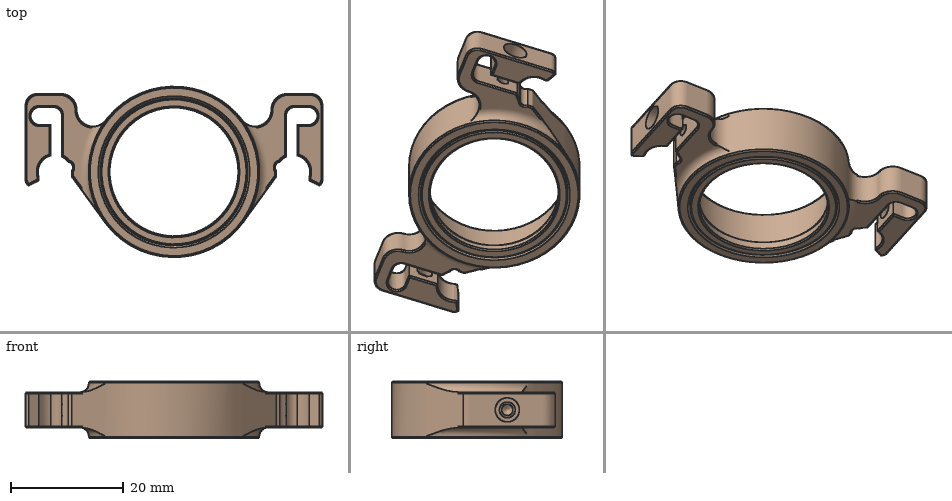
import cadquery as cq
import math

ring_height = 10.2
ring_radius = 30.5 / 2
bore_radius = 26.3 / 2
bore_chamfer = 0.35
edge_chamfer = 0.25

opening_radius = 22.9 / 2
insert_height = 2.0

lug_height = 6.35
root_radius = 1.5
lug_end_x = -26.5
lug_back_y = 13.95
corner_radius = 2.2
shoulder_radius = 2.9

slot_end_x = -25.55
slot_back_y = 11.55
slot_front_y = 8.4
slot_radius = (slot_back_y - slot_front_y) / 2
plate_inner_x = -21.95
arm_face_x = -20.0

seat_x = -21.25
seat_radius = 2.995
detent_x = -19.05
detent_y = 0.8
detent_radius = 1.0

nose_x = seat_x + seat_radius
nose_y = -0.8
nose_radius = 0.55

tip_inner_x = -24.15
tip_inner_y = -1.55
tip_inner_radius = 0.25
tip_x = -25.95
tip_y = -2.45
tip_curve_y = -1.4

hole_y = 5.4
head_radius = 4.3 / 2
head_depth = 3.2
screw_radius = 2.8 / 2
pilot_radius = 2.0 / 2
pilot_depth = 2.1
drill_tip_angle = 120


def upright(outline, height):
    """Extrude an outline in the XY plane to a height centred on Z = 0."""
    return outline.extrude(height).translate((0, 0, -height / 2))


def chamfered_tube(outer_radius, inner_radius, height, inner_chamfer):
    """Ring centred on Z = 0 with all four of its edges chamfered."""
    tube = upright(cq.Workplane("XY").circle(outer_radius), height)
    tube = tube.edges("%CIRCLE").chamfer(edge_chamfer)
    hole = upright(cq.Workplane("XY").circle(inner_radius), height)
    tube = tube.cut(hole)
    inner_edges = cq.selectors.RadiusNthSelector(0)
    return tube.edges("%CIRCLE").edges(inner_edges).chamfer(inner_chamfer)


def lug_blank(height):
    """Left lug before the slot and seat are cut; it reaches to the ring's axis."""
    shoulder_y = lug_back_y - shoulder_radius
    valley_distance = ring_radius + shoulder_radius
    valley_x = -math.sqrt(valley_distance**2 - shoulder_y**2)
    valley_side_x = valley_x - shoulder_radius
    valley_end_angle = math.atan2(-shoulder_y, -valley_x)
    valley_mid_angle = (valley_end_angle - math.pi) / 2

    def valley_point(angle):
        return (
            valley_x + shoulder_radius * math.cos(angle),
            shoulder_y + shoulder_radius * math.sin(angle),
        )

    nose_distance = math.hypot(nose_x, nose_y)
    flank_angle = math.atan2(nose_y, nose_x) + math.acos(ring_radius / nose_distance)
    flank_end = (ring_radius * math.cos(flank_angle), ring_radius * math.sin(flank_angle))

    outline = (
        cq.Workplane("XY")
        .moveTo(*valley_point(valley_end_angle))
        .threePointArc(valley_point(valley_mid_angle), (valley_side_x, shoulder_y))
        .tangentArcPoint((valley_side_x - shoulder_radius, lug_back_y), relative=False)
        .lineTo(lug_end_x + corner_radius, lug_back_y)
        .tangentArcPoint((lug_end_x, lug_back_y - corner_radius), relative=False)
        .lineTo(lug_end_x, tip_curve_y)
        .tangentArcPoint((tip_x, tip_y), relative=False)
        .lineTo(tip_inner_x, tip_inner_y)
        .lineTo(nose_x, nose_y)
        .lineTo(*flank_end)
        .lineTo(0, 0)
        .close()
    )
    return upright(outline, height)


def slot():
    """Hook-shaped slot, running from its closed end round into the seat."""
    outline = (
        cq.Workplane("XY")
        .moveTo(arm_face_x, 0)
        .lineTo(arm_face_x, slot_back_y - slot_radius)
        .tangentArcPoint((arm_face_x - slot_radius, slot_back_y), relative=False)
        .lineTo(slot_end_x + slot_radius, slot_back_y)
        .tangentArcPoint((slot_end_x + slot_radius, slot_front_y), relative=False)
        .lineTo(plate_inner_x, slot_front_y)
        .lineTo(plate_inner_x, 0)
        .close()
    )
    return upright(outline, lug_height)


def seat():
    """Round seat with its detent groove and the open mouth in front of it."""
    round_seat = cq.Workplane("XY").center(seat_x, 0).circle(seat_radius)
    detent = cq.Workplane("XY").center(detent_x, detent_y).circle(detent_radius)
    mouth = cq.Workplane("XY").moveTo(tip_inner_x, 0).lineTo(nose_x, 0)
    mouth = mouth.lineTo(nose_x, tip_y).lineTo(tip_inner_x, tip_y).close()
    cutter = upright(round_seat, lug_height)
    cutter = cutter.union(upright(detent, lug_height))
    return cutter.union(upright(mouth, lug_height))


def round_upright_edge(body, x, y, radius):
    nearest = cq.selectors.NearestToPointSelector((x, y, 0))
    return body.edges("|Z").edges(nearest).fillet(radius)


def lug_plate():
    """Flat part of the lug with its slot and seat, chamfered along both faces."""
    plate = lug_blank(lug_height).cut(slot()).cut(seat())
    plate = round_upright_edge(plate, tip_inner_x, tip_inner_y, tip_inner_radius)
    plate = round_upright_edge(plate, nose_x, nose_y, nose_radius)
    return plate.faces("|Z").edges().chamfer(edge_chamfer)


def lug_root():
    """Thicker root of the lug, blending round from its faces into the ring wall."""
    face_z = lug_height / 2
    root_z = face_z + root_radius
    root_end = ring_radius + root_radius
    arc_sag = root_radius * (1 - math.sqrt(0.5))
    arc_mid_x = ring_radius + arc_sag
    arc_mid_z = face_z + arc_sag
    flange = (
        cq.Workplane("XZ")
        .moveTo(0, -root_z)
        .lineTo(ring_radius, -root_z)
        .threePointArc((arc_mid_x, -arc_mid_z), (root_end, -face_z))
        .lineTo(root_end, face_z)
        .threePointArc((arc_mid_x, arc_mid_z), (ring_radius, root_z))
        .lineTo(0, root_z)
        .close()
        .revolve(360, (0, 0, 0), (0, 1, 0))
    )
    return lug_blank(ring_height).intersect(flange)


def screw_hole():
    """Counterbored hole through the outer plate and a drilled pilot hole in the arm."""

    def bore(start_x, end_x, radius):
        start = cq.Workplane("YZ").workplane(offset=start_x).center(hole_y, 0)
        return start.circle(radius).extrude(end_x - start_x)

    pilot_end_x = arm_face_x + pilot_depth
    drill_tip_height = pilot_radius / math.tan(math.radians(drill_tip_angle / 2))
    drill_tip = cq.Solid.makeCone(
        pilot_radius, 0, drill_tip_height, pnt=(pilot_end_x, hole_y, 0), dir=(1, 0, 0)
    )
    cutter = bore(lug_end_x, lug_end_x + head_depth, head_radius)
    cutter = cutter.union(bore(lug_end_x, plate_inner_x, screw_radius))
    cutter = cutter.union(bore(plate_inner_x, pilot_end_x, pilot_radius))
    return cutter.union(cq.Workplane(drill_tip))


def left_lug():
    wall_middle_radius = (ring_radius + bore_radius) / 2
    clearance = upright(cq.Workplane("XY").circle(wall_middle_radius), ring_height)
    return lug_plate().union(lug_root()).cut(screw_hole()).cut(clearance)


def make_frame():
    """Ring with its two hooked lugs."""
    ring = chamfered_tube(ring_radius, bore_radius, ring_height, bore_chamfer)
    lug = left_lug()
    return ring.union(lug).union(lug.mirror("YZ"))


def make_insert():
    """Ring that fits the bore, flush with the bottom of the frame."""
    insert = chamfered_tube(bore_radius, opening_radius, insert_height, edge_chamfer)
    return insert.translate((0, 0, (insert_height - ring_height) / 2))


frame = make_frame()
insert = make_insert()
result = cq.Compound.makeCompound([frame.solids().val(), insert.solids().val()])